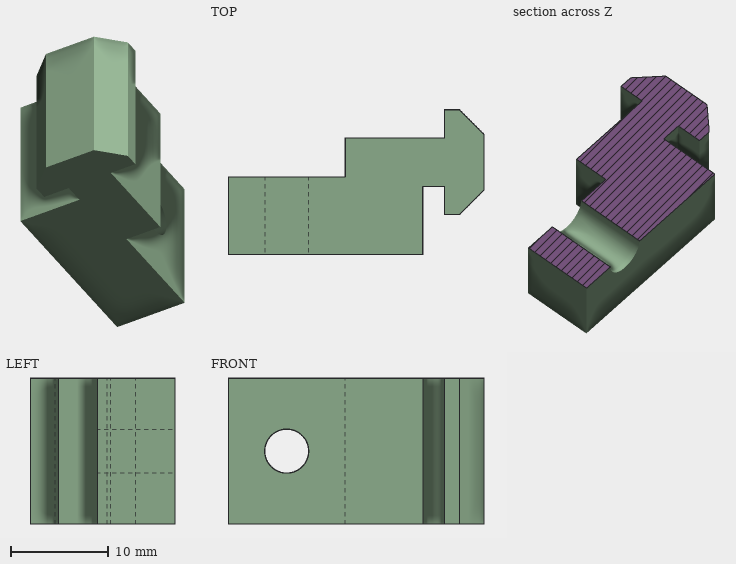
import cadquery as cq

height = 15.0

block_length = 20.0
block_depth = 8.0

step_start = 12.0
neck_width = 5.0
neck_front = 7.0
neck_back = neck_front + neck_width
neck_center = neck_front + neck_width / 2

total_length = 26.3
head_start = 22.2
head_width = 10.8
head_front = neck_center - head_width / 2
head_back = neck_center + head_width / 2
head_chamfer = 2.55

hole_diameter = 4.5
hole_x = step_start / 2
hole_z = height / 2


def make_body():
    """Stepped block with the T-shaped head, extruded upward."""
    outline = [
        (0, 0),
        (block_length, 0),
        (block_length, neck_front),
        (head_start, neck_front),
        (head_start, head_front),
        (total_length - head_chamfer, head_front),
        (total_length, head_front + head_chamfer),
        (total_length, head_back - head_chamfer),
        (total_length - head_chamfer, head_back),
        (head_start, head_back),
        (head_start, neck_back),
        (step_start, neck_back),
        (step_start, block_depth),
        (0, block_depth),
    ]
    return cq.Workplane("XY").polyline(outline).close().extrude(height)


def make_hole():
    """Cylinder along Y that passes through the full block depth."""
    return (
        cq.Workplane("XZ")
        .center(hole_x, hole_z)
        .circle(hole_diameter / 2)
        .extrude(-block_depth)
    )


result = make_body().cut(make_hole())